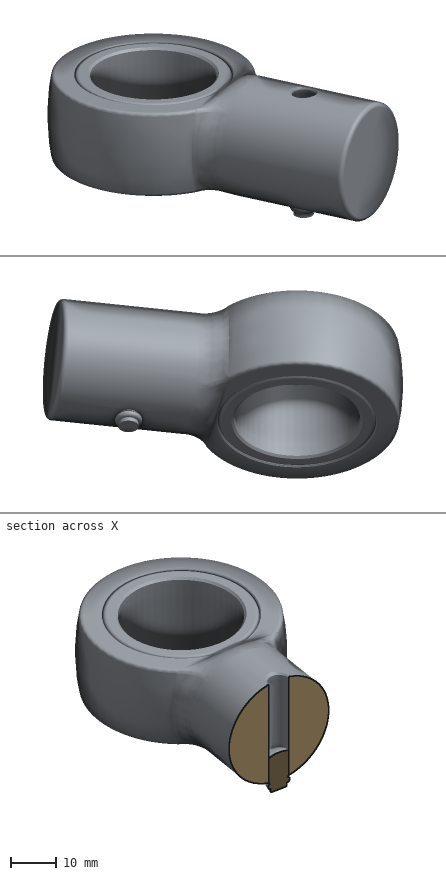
import cadquery as cq
import math

head_radius = 23.5
head_height = 20.0
head_half_height = head_height / 2
head_edge_fillet = 0.8
barrel_edge_radius = 22.5
bearing_seat_radius = 35.0 / 2
seat_chamfer = 0.25

shank_radius = 27.0 / 2
shank_start = 24.4
shank_end = 54.9
shank_end_fillet = 1.0

neck_start = 18.0
neck_stations = 6
corner_start_head_y = 11.9
corner_mid = math.sin(math.radians(45))

ring_bore_radius = 28.0 / 2
ring_bore_chamfer = 0.5
ring_edge_fillet = 1.0

cross_hole_x = 37.9
cross_hole_radius = 5.2 / 2
cross_hole_rim_radius = 3.2
nipple_end_z = -16.0
nipple_inner_z = -6.0
nipple_tip_radius = 0.85
nipple_cone_angle = 12.0
bead_height = 1.5
bead_edge_radius = 4.5 / 2
neck_groove_radius = 4.4 / 2
nipple_end_radius = 4.5 / 2
nipple_end_band = 0.25


def barrel_radius(z):
    """Radius of the crowned outside of the head at height z."""
    crown = head_radius - barrel_edge_radius
    arc_radius = (head_half_height**2 + crown**2) / (2 * crown)
    return head_radius - arc_radius + math.sqrt(arc_radius**2 - z**2)


def arc_blend(start, end, x):
    """Arc from start at the head to end at the shank, where it runs parallel to X."""
    length = shank_start - neck_start
    rise = end - start
    radius = (length**2 + rise**2) / (2 * abs(rise))
    drop = radius - math.sqrt(radius**2 - (shank_start - x)**2)
    return end - math.copysign(drop, rise)


def make_head():
    profile = (
        cq.Workplane("XZ")
        .moveTo(0, -head_half_height)
        .lineTo(barrel_edge_radius, -head_half_height)
        .threePointArc((head_radius, 0), (barrel_edge_radius, head_half_height))
        .lineTo(0, head_half_height)
        .close()
    )
    head = profile.revolve(360, (0, 0, 0), (0, 1, 0)).edges("%CIRCLE").fillet(head_edge_fillet)
    keep = cq.Workplane("XY").box(
        head_radius + neck_start, 2 * head_radius, head_height
    ).translate(((neck_start - head_radius) / 2, 0, 0))
    return head.intersect(keep)


def neck_section(x):
    """Closed section of the neck in the plane at x, made of crown, corner and side arcs."""

    def half_width(z, head_y):
        return arc_blend(head_y, math.sqrt(shank_radius**2 - z**2), x)

    side_z = head_half_height - head_edge_fillet
    corner_z = side_z + head_edge_fillet * corner_mid
    side_head_y = math.sqrt(barrel_radius(side_z)**2 - neck_start**2)
    corner_head_y = corner_start_head_y + corner_mid * (side_head_y - corner_start_head_y)

    top = arc_blend(head_half_height, shank_radius, x)
    waist = half_width(0, math.sqrt(head_radius**2 - neck_start**2))
    side = half_width(side_z, side_head_y)
    corner = half_width(corner_z, corner_head_y)
    face = half_width(head_half_height, corner_start_head_y)

    wire = cq.Workplane("YZ", origin=(x, 0, 0)).moveTo(-face, head_half_height)
    if x > neck_start:
        wire = wire.threePointArc((0, top), (face, head_half_height))
    else:
        wire = wire.lineTo(face, head_half_height)
    wire = (
        wire.threePointArc((corner, corner_z), (side, side_z))
        .threePointArc((waist, 0), (side, -side_z))
        .threePointArc((corner, -corner_z), (face, -head_half_height))
    )
    if x > neck_start:
        wire = wire.threePointArc((0, -top), (-face, -head_half_height))
    else:
        wire = wire.lineTo(-face, -head_half_height)
    return (
        wire.threePointArc((-corner, -corner_z), (-side, -side_z))
        .threePointArc((-waist, 0), (-side, side_z))
        .threePointArc((-corner, corner_z), (-face, head_half_height))
        .close()
        .val()
    )


def make_neck():
    step = (shank_start - neck_start) / (neck_stations - 1)
    sections = [neck_section(neck_start + step * i) for i in range(neck_stations)]
    return cq.Workplane(cq.Solid.makeLoft(sections))


def make_shank():
    return (
        cq.Workplane("YZ", origin=(shank_start, 0, 0))
        .circle(shank_radius)
        .extrude(shank_end - shank_start)
        .faces(">X").edges().fillet(shank_end_fillet)
    )


def make_bearing_seat():
    """Cutter for the bearing bore with a small chamfer at both ends."""
    rim_radius = bearing_seat_radius + seat_chamfer
    chamfer_z = head_half_height - seat_chamfer
    return (
        cq.Workplane("XZ")
        .polyline([
            (0, -head_half_height),
            (rim_radius, -head_half_height),
            (bearing_seat_radius, -chamfer_z),
            (bearing_seat_radius, chamfer_z),
            (rim_radius, head_half_height),
            (0, head_half_height),
        ])
        .close()
        .revolve(360, (0, 0, 0), (0, 1, 0))
    )


def make_cross_hole():
    """Cutter for the hole through the shank, countersunk at the top."""
    sink_z = shank_radius - (cross_hole_rim_radius - cross_hole_radius)
    return (
        cq.Workplane("XZ", origin=(cross_hole_x, 0, 0))
        .polyline([
            (0, -shank_radius),
            (cross_hole_radius, -shank_radius),
            (cross_hole_radius, sink_z),
            (cross_hole_rim_radius, shank_radius),
            (0, shank_radius),
        ])
        .close()
        .revolve(360, (0, 0, 0), (0, 1, 0))
    )


def make_housing():
    body = make_head().union(make_neck()).union(make_shank())
    return body.cut(make_bearing_seat()).cut(make_cross_hole())


def make_bearing_ring():
    ring = (
        cq.Workplane("XY", origin=(0, 0, -head_half_height))
        .circle(bearing_seat_radius)
        .extrude(head_height)
        .edges("%CIRCLE").fillet(ring_edge_fillet)
    )
    bore = (
        cq.Workplane("XY", origin=(0, 0, -head_half_height))
        .circle(ring_bore_radius)
        .extrude(head_height)
    )
    ring = ring.cut(bore)
    bore_edges = ring.faces("%PLANE").edges(cq.selectors.RadiusNthSelector(0))
    return bore_edges.chamfer(ring_bore_chamfer)


def make_grease_nipple():
    """Nipple pressed into the cross hole: conical inner end, rounded bead and end band outside."""
    cone_height = (cross_hole_radius - nipple_tip_radius) * math.tan(math.radians(nipple_cone_angle))
    bead_bottom = -shank_radius - bead_height
    bead_radius = bead_edge_radius + bead_height / 2
    band_top = nipple_end_z + nipple_end_band
    return (
        cq.Workplane("XZ", origin=(cross_hole_x, 0, 0))
        .moveTo(0, nipple_inner_z)
        .lineTo(nipple_tip_radius, nipple_inner_z)
        .lineTo(cross_hole_radius, nipple_inner_z - cone_height)
        .lineTo(cross_hole_radius, -shank_radius)
        .lineTo(bead_edge_radius, -shank_radius)
        .threePointArc((bead_radius, -shank_radius - bead_height / 2), (bead_edge_radius, bead_bottom))
        .lineTo(neck_groove_radius, bead_bottom)
        .lineTo(neck_groove_radius, band_top)
        .lineTo(nipple_end_radius, band_top)
        .lineTo(nipple_end_radius, nipple_end_z)
        .lineTo(0, nipple_end_z)
        .close()
        .revolve(360, (0, 0, 0), (0, 1, 0))
    )


housing = make_housing()
bearing_ring = make_bearing_ring()
grease_nipple = make_grease_nipple()

result = cq.Compound.makeCompound([
    housing.solids().val(),
    bearing_ring.solids().val(),
    grease_nipple.solids().val(),
])